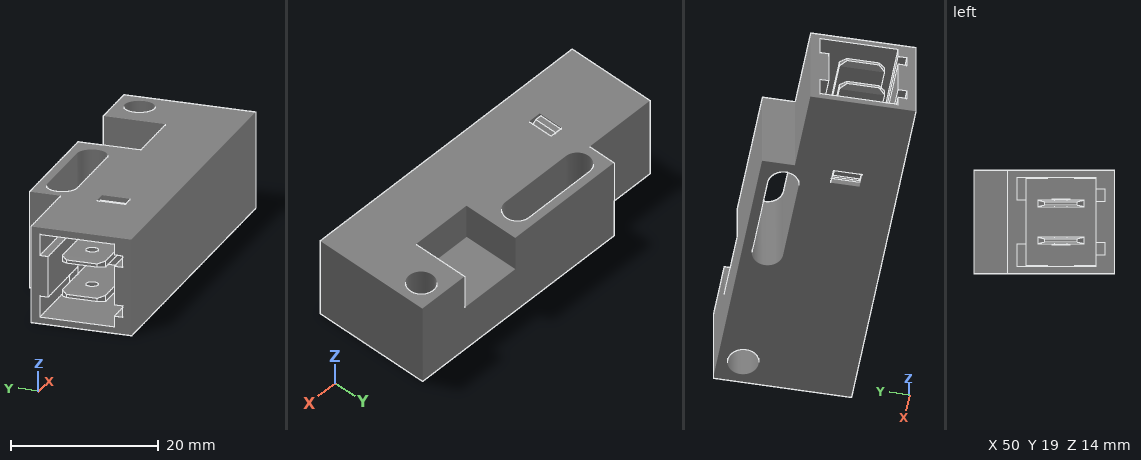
import cadquery as cq

LENGTH = 50.0
WIDTH = 19.0
HEIGHT = 14.0
TOP = HEIGHT / 2
EDGE_RADIUS = 0.05
NOSE_WIDTH = 14.5
SOCKET_DEPTH = 12.0

MOUNT_Y = 15.5
MOUNT_DIAMETER = 4.25
HOLE_X = 46.5
SLOT_START = 13.4
SLOT_END = 29.6

RECESS_START = 31.6
RECESS_LENGTH = 10.0
RECESS_INNER_Y = 10.0
RECESS_DEPTH = 6.0

CAVITY_Y_MIN = 2.5
CAVITY_Y_MAX = 12.0
CAVITY_HEIGHT = 12.0
KEYWAY_DEPTH = 1.2
WIDE_KEYWAY_INNER_Z = 2.95
NARROW_KEYWAY_INNER_Z = 2.8
NARROW_KEYWAY_OUTER_Z = 4.45

INSERT_LENGTH = 12.0
INSERT_END = SOCKET_DEPTH + INSERT_LENGTH
INSERT_HEIGHT = 11.7
LUG_WIDTH = 3.7
LUG_FLAT_LENGTH = 1.0
LUG_LENGTH = 1.95
LUG_TOP = 6.7
WINDOW_LENGTH = 2.1
WINDOW_WIDTH = 4.0
CENTER_Y = (CAVITY_Y_MIN + CAVITY_Y_MAX) / 2

TAB_WIDTH = 6.2
TAB_THICKNESS = 0.9
TAB_Z = 2.5
TAB_CORNER = 0.9
TAB_TIP_LENGTH = 1.0
TAB_TIP_THICKNESS = 0.45
TAB_TIP_X = 0.2
TAB_HOLE_DIAMETER = 1.7
TAB_HOLE_X = 4.4
TAB_KEY_WIDTH = 2.4
TAB_KEY_HEIGHT = 0.15


def block(x_range, y_range, z_range):
    """Box given by its limits along each axis."""
    size = [high - low for low, high in (x_range, y_range, z_range)]
    corner = (x_range[0], y_range[0], z_range[0])
    return cq.Workplane("XY").box(*size, centered=False).translate(corner)


def mirrored_pair(body):
    """A body joined with its mirror image about mid height."""
    return body.union(body.mirror("XY"))


def mounting_openings():
    slot_length = SLOT_END - SLOT_START
    slot_x = (SLOT_START + SLOT_END) / 2
    plane = cq.Workplane("XY").workplane(offset=-TOP)
    slot = plane.center(slot_x, MOUNT_Y).slot2D(slot_length, MOUNT_DIAMETER).extrude(HEIGHT)
    hole = plane.center(HOLE_X, MOUNT_Y).circle(MOUNT_DIAMETER / 2).extrude(HEIGHT)
    return slot.union(hole)


def keyways():
    wide = block(
        (0, SOCKET_DEPTH),
        (CAVITY_Y_MAX, CAVITY_Y_MAX + KEYWAY_DEPTH),
        (WIDE_KEYWAY_INNER_Z, CAVITY_HEIGHT / 2),
    )
    narrow = block(
        (0, SOCKET_DEPTH),
        (CAVITY_Y_MIN - KEYWAY_DEPTH, CAVITY_Y_MIN),
        (NARROW_KEYWAY_INNER_Z, NARROW_KEYWAY_OUTER_Z),
    )
    return mirrored_pair(wide.union(narrow))


def make_housing():
    body = block((0, LENGTH), (0, WIDTH), (-TOP, TOP))
    nose_step = block((0, SOCKET_DEPTH), (NOSE_WIDTH, WIDTH), (-TOP, TOP))
    recess = block(
        (RECESS_START, RECESS_START + RECESS_LENGTH),
        (RECESS_INNER_Y, WIDTH),
        (TOP - RECESS_DEPTH, TOP),
    )
    cavity = block(
        (0, INSERT_END),
        (CAVITY_Y_MIN, CAVITY_Y_MAX),
        (-CAVITY_HEIGHT / 2, CAVITY_HEIGHT / 2),
    )
    windows = block(
        (SOCKET_DEPTH, SOCKET_DEPTH + WINDOW_LENGTH),
        (CENTER_Y - WINDOW_WIDTH / 2, CENTER_Y + WINDOW_WIDTH / 2),
        (-TOP, TOP),
    )
    for opening in (nose_step, recess, mounting_openings(), windows):
        body = body.cut(opening)
    body = body.edges().fillet(EDGE_RADIUS)
    for opening in (cavity, keyways()):
        body = body.cut(opening)
    return body


def snap_lugs():
    """Lugs with a flat crest at the socket end and a ramp falling toward +X."""
    base_z = INSERT_HEIGHT / 2
    profile = [
        (SOCKET_DEPTH, 0),
        (SOCKET_DEPTH, LUG_TOP),
        (SOCKET_DEPTH + LUG_FLAT_LENGTH, LUG_TOP),
        (SOCKET_DEPTH + LUG_LENGTH, base_z),
        (SOCKET_DEPTH + LUG_LENGTH, 0),
    ]
    middle = cq.Workplane("XZ", origin=(0, CENTER_Y, 0))
    return mirrored_pair(middle.polyline(profile).close().extrude(LUG_WIDTH / 2, both=True))


def make_tab():
    """Upper contact tab: cut corners, tip bevelled on both faces, round hole and raised key."""
    half_width = TAB_WIDTH / 2
    outline = [
        (TAB_TIP_X, CENTER_Y - half_width + TAB_CORNER),
        (TAB_TIP_X + TAB_CORNER, CENTER_Y - half_width),
        (INSERT_END, CENTER_Y - half_width),
        (INSERT_END, CENTER_Y + half_width),
        (TAB_TIP_X + TAB_CORNER, CENTER_Y + half_width),
        (TAB_TIP_X, CENTER_Y + half_width - TAB_CORNER),
    ]
    side = [
        (TAB_TIP_X, -TAB_TIP_THICKNESS / 2),
        (TAB_TIP_X + TAB_TIP_LENGTH, -TAB_THICKNESS / 2),
        (INSERT_END, -TAB_THICKNESS / 2),
        (INSERT_END, TAB_THICKNESS / 2),
        (TAB_TIP_X + TAB_TIP_LENGTH, TAB_THICKNESS / 2),
        (TAB_TIP_X, TAB_TIP_THICKNESS / 2),
    ]
    plan = cq.Workplane("XY").polyline(outline).close().extrude(TAB_THICKNESS / 2, both=True)
    wedge = cq.Workplane("XZ", origin=(0, CENTER_Y, 0)).polyline(side).close()
    tab = plan.intersect(wedge.extrude(half_width, both=True))
    hole = cq.Workplane("XY").center(TAB_HOLE_X, CENTER_Y).circle(TAB_HOLE_DIAMETER / 2)
    key = block(
        (SOCKET_DEPTH, INSERT_END),
        (CENTER_Y - TAB_KEY_WIDTH / 2, CENTER_Y + TAB_KEY_WIDTH / 2),
        (0, TAB_THICKNESS / 2 + TAB_KEY_HEIGHT),
    )
    tab = tab.cut(hole.extrude(TAB_THICKNESS, both=True)).union(key)
    return tab.translate((0, 0, TAB_Z))


def make_insert(tabs):
    body = block(
        (SOCKET_DEPTH, INSERT_END),
        (CAVITY_Y_MIN, CAVITY_Y_MAX),
        (-INSERT_HEIGHT / 2, INSERT_HEIGHT / 2),
    ).union(snap_lugs())
    for tab in tabs:
        body = body.cut(tab)
    return body


housing = make_housing()
contact_tabs = [
    make_tab().rotate((0, CENTER_Y, 0), (1, CENTER_Y, 0), angle)
    for angle in (0, 180)
]
insert = make_insert(contact_tabs)

result = cq.Compound.makeCompound([housing.val(), insert.val(), *[tab.val() for tab in contact_tabs]])